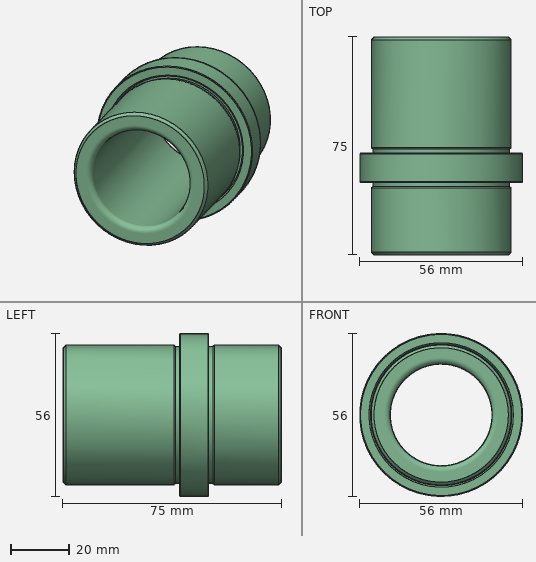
import cadquery as cq
import math

length = 75.0
body_radius = 24.1
flange_diameter = 56.0
bore_radius = 17.5

flange_front = 25.0
flange_width = 10.05
flange_chamfer = 0.3

groove_width = 1.95
groove_depth = 0.5
undercut_radius = 24.8
undercut_depth = 0.5

end_chamfer_length = 1.05
end_chamfer_depth = 1.0
bore_round = 2.0


def make_body():
    """Cylindrical body with a chamfer at each end."""
    end_radius = body_radius - end_chamfer_depth
    profile = [
        (0, 0),
        (end_radius, 0),
        (body_radius, end_chamfer_length),
        (body_radius, length - end_chamfer_length),
        (end_radius, length),
        (0, length),
    ]
    return cq.Workplane("XY").polyline(profile).close().revolve(360, (0, 0), (0, 1))


def make_flange():
    """Collar with both outer edges broken."""
    return (
        cq.Workplane("XZ", origin=(0, flange_front, 0))
        .circle(flange_diameter / 2)
        .extrude(-flange_width)
        .edges()
        .chamfer(flange_chamfer)
    )


def make_groove(flange_face, direction):
    """Ring cutter running from a flange face along Y and undercutting that face at 45 degrees."""
    floor_radius = body_radius - groove_depth
    floor_end = flange_face + direction * (groove_width - groove_depth)
    groove_end = flange_face + direction * groove_width
    undercut_end = flange_face - direction * undercut_depth
    profile = [
        (floor_radius, undercut_end),
        (floor_radius, floor_end),
        (body_radius, groove_end),
        (body_radius, flange_face),
        (undercut_radius, flange_face),
        (undercut_radius - undercut_depth, undercut_end),
    ]
    return cq.Workplane("XY").polyline(profile).close().revolve(360, (0, 0), (0, 1))


def make_bore():
    """Through bore that flares out in a quarter round at each end."""
    mouth_radius = bore_radius + bore_round
    arc_inset = bore_round * (1 - math.cos(math.pi / 4))
    arc_radius = bore_radius + arc_inset
    return (
        cq.Workplane("XY")
        .lineTo(mouth_radius, 0)
        .threePointArc((arc_radius, arc_inset), (bore_radius, bore_round))
        .lineTo(bore_radius, length - bore_round)
        .threePointArc((arc_radius, length - arc_inset), (mouth_radius, length))
        .lineTo(0, length)
        .close()
        .revolve(360, (0, 0), (0, 1))
    )


flange_rear = flange_front + flange_width
result = make_body().union(make_flange()).cut(make_bore())
for flange_face, direction in ((flange_front, -1), (flange_rear, 1)):
    result = result.cut(make_groove(flange_face, direction))